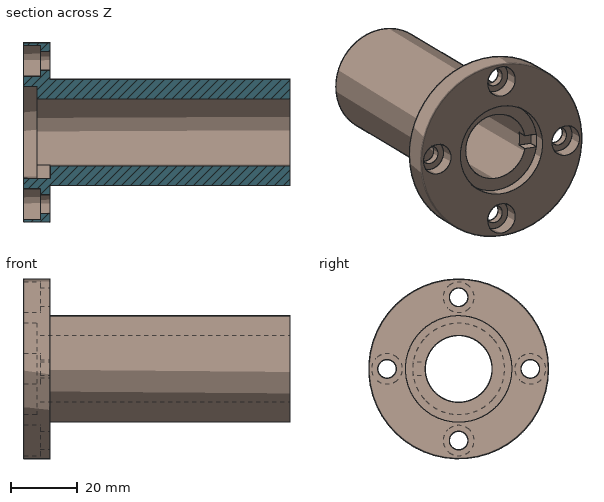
import cadquery as cq

total_length = 80.0
flange_diameter = 54.0
flange_thickness = 8.0
flange_edge_radius = 0.2
tube_diameter = 32.0

bore_diameter = 20.0
recess_diameter = 27.5
recess_depth = 4.0
slot_width = 4.0
slot_depth = 4.0
slot_reach = recess_diameter / 2

hole_count = 4
hole_diameter = 5.5
counterbore_diameter = 9.2
counterbore_depth = 5.1
hole_circle_diameter = 43.0


def disc(diameter, length):
    """Solid cylinder along +X, starting at the flange face."""
    return cq.Workplane("YZ").circle(diameter / 2).extrude(length)


def flanged_tube():
    """Flange with both rims slightly rounded, joined to the long tube."""
    flange = disc(flange_diameter, flange_thickness).edges().fillet(flange_edge_radius)
    return flange.union(disc(tube_diameter, total_length))


def recess_slot():
    """Slot on the -Y side of the recess floor, from the bore out to the recess wall."""
    return (
        cq.Workplane("XY", origin=(recess_depth, -slot_reach, 0))
        .box(slot_depth, slot_reach, slot_width, centered=(False, False, True))
    )


def mounting_holes(diameter, depth):
    """Ring of cylinders entering from the flange face."""
    return (
        cq.Workplane("YZ")
        .polarArray(hole_circle_diameter / 2, 0, 360, hole_count)
        .circle(diameter / 2)
        .extrude(depth)
    )


result = (
    flanged_tube()
    .cut(disc(bore_diameter, total_length))
    .cut(disc(recess_diameter, recess_depth))
    .cut(recess_slot())
    .cut(mounting_holes(hole_diameter, flange_thickness))
    .cut(mounting_holes(counterbore_diameter, counterbore_depth))
)